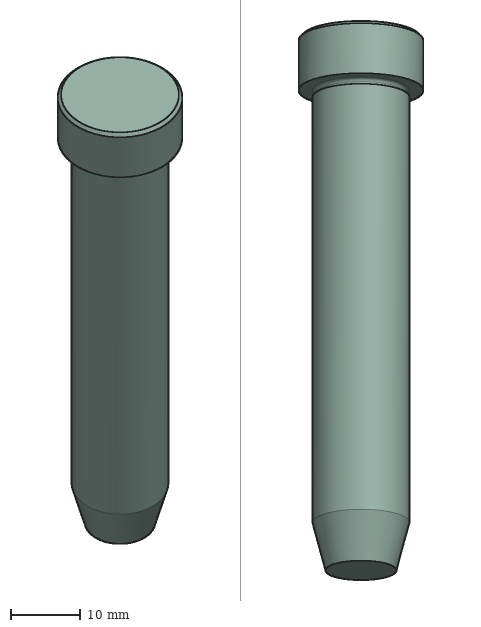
import cadquery as cq

total_length = 80.0
head_diameter = 18.0
head_height = 8.0
head_chamfer = 0.5

shank_diameter = 14.0
groove_depth = 0.5
groove_fillet = 0.5
groove_height = 2 * groove_fillet

tip_diameter = 10.2
tip_height = 7.2

head_underside = total_length - head_height
shank_top = head_underside - groove_height
head_radius = head_diameter / 2
shank_radius = shank_diameter / 2
groove_radius = shank_radius - groove_depth
tip_radius = tip_diameter / 2

profile = (
    cq.Workplane("XZ")
    .moveTo(0, 0)
    .lineTo(tip_radius, 0)
    .lineTo(shank_radius, tip_height)
    .lineTo(shank_radius, shank_top)
    .lineTo(groove_radius, shank_top)
    .lineTo(groove_radius, head_underside - groove_fillet)
    .radiusArc((groove_radius + groove_fillet, head_underside), groove_fillet)
    .lineTo(head_radius, head_underside)
    .lineTo(head_radius, total_length - head_chamfer)
    .lineTo(head_radius - head_chamfer, total_length)
    .lineTo(0, total_length)
    .close()
)

result = profile.revolve(360, (0, 0, 0), (0, 1, 0))